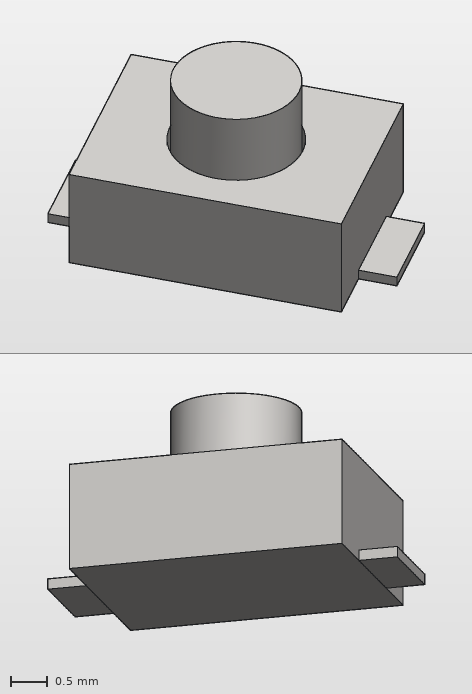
import cadquery as cq

housing_length = 3.9
housing_width = 2.9
housing_height = 1.5

button_diameter = 1.8
button_projection = 1.0
recess_diameter = 1.9
recess_depth = 0.5

overall_length = 5.0
terminal_length = (overall_length - housing_length) / 2
terminal_width = 1.3
terminal_thickness = 0.15

recess_floor = housing_height - recess_depth


def make_housing():
    """Block with a blind round recess in its top face."""
    block = cq.Workplane("XY").box(
        housing_length, housing_width, housing_height, centered=(True, True, False)
    )
    recess = cq.Workplane("XY").workplane(offset=recess_floor).circle(recess_diameter / 2).extrude(recess_depth)
    return block.cut(recess)


def make_button():
    """Cylinder resting on the recess floor, with clearance all round."""
    return (
        cq.Workplane("XY")
        .workplane(offset=recess_floor)
        .circle(button_diameter / 2)
        .extrude(recess_depth + button_projection)
    )


def make_terminal(side):
    """Flat tab against one end of the housing; side is -1 or +1 along X."""
    center_x = side * (housing_length + terminal_length) / 2
    return (
        cq.Workplane("XY")
        .center(center_x, 0)
        .box(terminal_length, terminal_width, terminal_thickness, centered=(True, True, False))
    )


housing = make_housing()
button = make_button()
terminals = [make_terminal(side) for side in (-1, 1)]

result = cq.Compound.makeCompound(
    [housing.val(), button.val(), *[terminal.val() for terminal in terminals]]
)